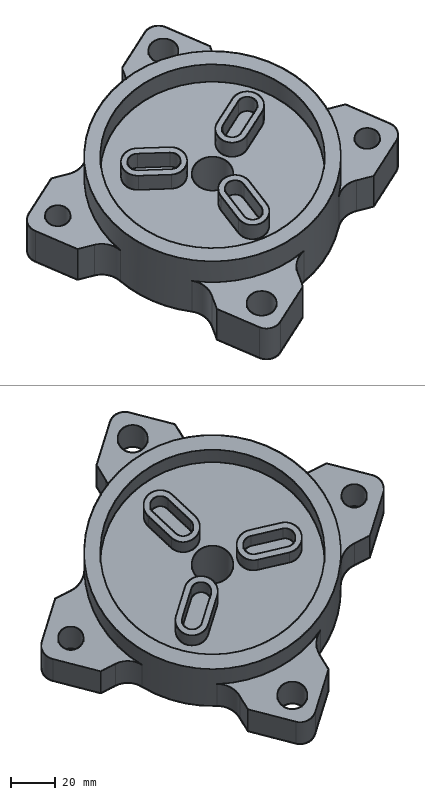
import cadquery as cq
import math

plate_length = 128.3
plate_width = 126.9
plate_height = 24.3
corner_radius = 7.0
side_gap_half = 34.4
front_gap_half = 35.5
back_gap_half = 34.5
root_radius = 11.5
lug_angle = 45
edge_tolerance = 0.01

body_radius = 58.0
body_height = 40.7
recess_radius = 50.7
recess_depth = 13.7

stub_radius = 20.3
stub_length = 24.1
stub_chamfer = 2.8
bore_radius = 9.4

bolt_x = 52.0
bolt_y = 51.3
large_bolt_diameter = 13.6
small_bolt_diameter = 11.5

boss_count = 3
boss_center_radius = 26.4
boss_length = 29.9
boss_width = 15.1
boss_height = 11.2
boss_wall = 3.0

recess_floor = body_height - recess_depth


def gap(edge_distance, half_width, direction):
    """Wedge with 45 degree flanks that opens one side of the plate down to the axis."""
    apex = edge_distance - half_width
    wedge = (
        cq.Workplane("XY")
        .polyline([(apex, 0), (edge_distance, half_width), (edge_distance, -half_width)])
        .close()
        .extrude(plate_height)
    )
    return wedge.rotate((0, 0, 0), (0, 0, 1), direction)


def make_plate():
    """Four corner lugs blended into the round body."""
    plate = cq.Workplane("XY").rect(plate_length, plate_width).extrude(plate_height)
    plate = plate.edges("|Z").fillet(corner_radius)
    for edge_distance, half_width, direction in (
        (plate_length / 2, side_gap_half, 0),
        (plate_width / 2, back_gap_half, 90),
        (plate_length / 2, side_gap_half, 180),
        (plate_width / 2, front_gap_half, 270),
    ):
        plate = plate.cut(gap(edge_distance, half_width, direction))

    disc = cq.Workplane("XY").circle(body_radius).extrude(plate_height)
    plate = plate.union(disc.rotate((0, 0, 0), (0, 0, 1), lug_angle))
    return plate.edges("|Z").filter(is_lug_root).fillet(root_radius)


def is_lug_root(edge):
    """Tell whether a vertical edge is where a lug meets the round body."""
    center = edge.Center()
    return abs(math.hypot(center.x, center.y) - body_radius) < edge_tolerance


def make_stub():
    stub = cq.Workplane("XY").circle(stub_radius).extrude(-stub_length)
    return stub.faces("<Z").chamfer(stub_chamfer)


def make_slotted_boss(angle):
    """Hollow boss whose long axis points away from the part axis."""
    boss = (
        cq.Workplane("XY", origin=(0, 0, recess_floor))
        .center(boss_center_radius, 0)
        .slot2D(boss_length, boss_width)
        .slot2D(boss_length - 2 * boss_wall, boss_width - 2 * boss_wall)
        .extrude(boss_height)
    )
    return boss.rotate((0, 0, 0), (0, 0, 1), angle)


def bolt_holes(diameter, points):
    return cq.Workplane("XY").pushPoints(points).circle(diameter / 2).extrude(plate_height)


body = cq.Workplane("XY").circle(body_radius).extrude(body_height)
recess = cq.Workplane("XY", origin=(0, 0, recess_floor)).circle(recess_radius).extrude(recess_depth)
bore = cq.Workplane("XY", origin=(0, 0, -stub_length)).circle(bore_radius).extrude(stub_length + body_height)

result = make_plate().union(body).union(make_stub()).cut(recess).cut(bore)
result = result.cut(bolt_holes(large_bolt_diameter, [(-bolt_x, bolt_y), (bolt_x, -bolt_y)]))
result = result.cut(bolt_holes(small_bolt_diameter, [(bolt_x, bolt_y), (-bolt_x, -bolt_y)]))
for index in range(boss_count):
    result = result.union(make_slotted_boss(90 + index * 360 / boss_count))